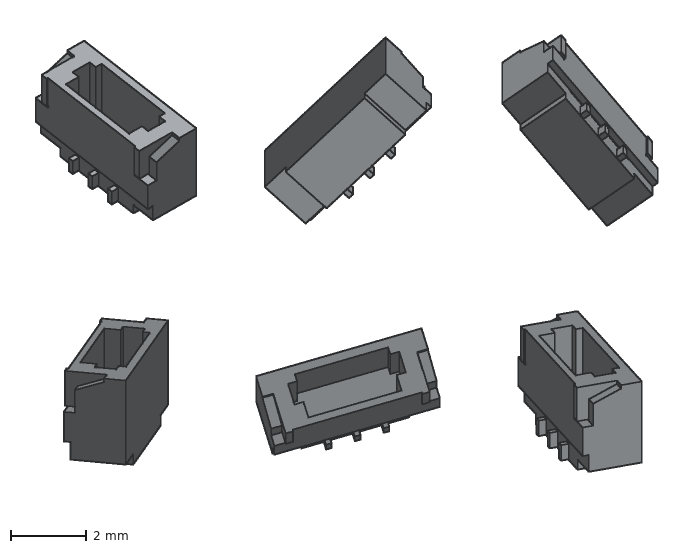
import cadquery as cq

length = 4.6
height = 2.7
depth = 1.7
base_depth = 1.523
foot_length = 3.0
foot_height = 0.3
step_height = 0.8
contact_front = 1.75

cavity_length = 2.59
cavity_back = 0.25
cavity_front = 1.5
ear_length = 3.09
ear_back = 0.45
ear_front = 1.05
cavity_depth = height - step_height

notch_width = 0.3
notch_start = 0.6
notch_lip = 0.1
slope_end = 1.4
slope_drop = 0.405
notch_drop = 1.055

plate_width = 0.205
plate_height = 1.0

pin_count = 3
pin_pitch = 0.8
pin_width = 0.155
pin_bottom = 0.028
pin_height = 0.46


def block(x_range, depth_range, z_range):
    """Box between X and Z limits and distances forward of the back face."""
    x_min, x_max = x_range
    back, front = depth_range
    z_min, z_max = z_range
    return cq.Workplane("XY").box(
        x_max - x_min, front - back, z_max - z_min, centered=False
    ).translate((x_min, -front, z_min))


def centred_block(width, depth_range, z_range, x_centre=0):
    x_range = (x_centre - width / 2, x_centre + width / 2)
    return block(x_range, depth_range, z_range)


def housing():
    foot = centred_block(foot_length, (0, base_depth), (0, foot_height))
    base = centred_block(length, (0, base_depth), (foot_height, step_height))
    upper = centred_block(length, (0, depth), (step_height, height))
    return upper.union(base).union(foot)


def cavity():
    z_range = (height - cavity_depth, height)
    middle = centred_block(cavity_length, (cavity_back, cavity_front), z_range)
    ears = centred_block(ear_length, (ear_back, ear_front), z_range)
    return middle.union(ears)


def left_notch():
    """Sloping cut beside the plate, plus clearance around the front of the plate."""
    floor = height - notch_drop
    profile = [
        (-notch_start, height),
        (-notch_start, height - notch_lip),
        (-slope_end, height - slope_drop),
        (-slope_end, floor),
        (-depth, floor),
        (-depth, height),
    ]
    slope = (
        cq.Workplane("YZ", origin=(-length / 2, 0, 0))
        .polyline(profile)
        .close()
        .extrude(notch_width)
    )
    inner_end = -length / 2 + notch_width + plate_width
    pocket = block((-length / 2, inner_end), (slope_end, depth), (floor, height))
    return slope.union(pocket)


def left_plate():
    outer_end = -length / 2 + notch_width
    return block(
        (outer_end, outer_end + plate_width),
        (notch_start, contact_front),
        (height - plate_height, height),
    )


def pins():
    solids = cq.Workplane("XY")
    for index in range(pin_count):
        x_centre = (index - (pin_count - 1) / 2) * pin_pitch
        pin = centred_block(
            pin_width,
            (base_depth, contact_front),
            (pin_bottom, pin_bottom + pin_height),
            x_centre,
        )
        solids = solids.union(pin)
    return solids


notch = left_notch()
plate = left_plate()
result = housing().cut(cavity()).cut(notch).cut(notch.mirror("YZ"))
result = result.union(plate).union(plate.mirror("YZ")).union(pins())